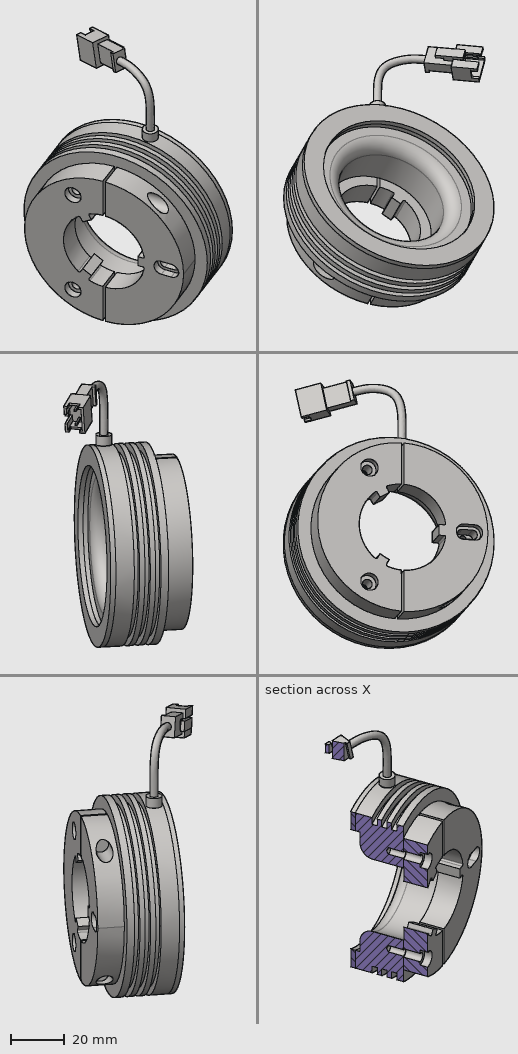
import cadquery as cq
import math


RING_RADIUS = 37.7
RING_BORE_RADIUS = 20.9
BORE_LIP_FILLET = 5.2
REAR_CAVITY_RADIUS = 30.0
FRONT_FLANGE = 2.9
GROOVE_WIDTH = 2.02
LAND_WIDTH = 2.02
GROOVE_DIAMETER = 69.7
GROOVE_COUNT = 3
GROOVE_PITCH = GROOVE_WIDTH + LAND_WIDTH
REAR_FLANGE = 6.9
GROOVES_END = FRONT_FLANGE + GROOVE_COUNT * GROOVE_PITCH - LAND_WIDTH
HOUSING_DEPTH = GROOVES_END + REAR_FLANGE
BORE_LIP_END = GROOVES_END + BORE_LIP_FILLET
COVER_THICKNESS = 2.0

HUB_DIAMETER = 65.3
HUB_RADIUS = HUB_DIAMETER / 2
HUB_BORE_RADIUS = 16.7
HUB_LENGTH = 10.0
SPLIT_GAP = 1.0
KEY_WIDTH = 4.1
KEY_TIP_RADIUS = 13.9
KEY_ROOT_FILLET = 0.6
KEY_ANGLES = (0, 120, 240)
CLAMP_POCKET_DIAMETER = 6.2
CLAMP_POCKET_HEIGHT = 25.6
CLAMP_POCKET_FLOOR = 12.4

SCREW_CIRCLE_RADIUS = 25.6
ROUND_SCREW_ANGLES = (120, 240)
COUNTERBORE_DIAMETER = 6.6
COUNTERBORE_DEPTH = 3.1
CLEARANCE_DIAMETER = 3.6
SLOT_TRAVEL = 4.0
SLOT_COUNTERBORE_WIDTH = 6.0
TAPPED_DIAMETER = 2.8
TAPPED_DEPTH = 6.2
DRILL_POINT_ANGLE = 118
SPARE_HOLE_RADIUS = 30.1

CABLE_DIAMETER = 3.1
COLLAR_DIAMETER = 6.0
COLLAR_X = 6.5
COLLAR_Y = HOUSING_DEPTH + COVER_THICKNESS - 5.5
COLLAR_SEAT_Z = 37.3
CABLE_START_Z = 36.2
COLLAR_TOP_Z = 41.1
CABLE_STRAIGHT_TOP_Z = 48.7
CABLE_SHOULDER = (3.1, 60.1)
CABLE_CREST = (10.9, 62.7)
CABLE_REACH = 18.4

PLUG_HEADING = -26.7
PLUG_PITCH = 11.9
PLUG_END_Z = 61.9
SOCKET_LENGTH = 9.9
SOCKET_WIDTH = 7.6
SOCKET_HEIGHT = 10.9
SOCKET_WALL = 0.9
SOCKET_DEPTH = 7.0
SOCKET_Y = 0.1
WALL_NOTCH_WIDTH = 4.1
WALL_NOTCH_DEPTH = 2.7
WALL_NOTCH_Y = 0.4
LATCH_WINDOW_HEIGHT = 3.9
NECK_LENGTH = 10.8
NECK_WIDTH = 4.5
NECK_HEIGHT = 8.0
NECK_Y = 0.7
NECK_LIP_LENGTH = 1.5
NECK_LIP_HEIGHT = 1.0
LATCH_START = -14.8
LATCH_END = -4.1
LATCH_INNER_Y = 4.0
LATCH_THICKNESS = 1.5
LATCH_HEIGHT = 3.9
LATCH_BRIDGE_LENGTH = 3.5
PIN_SIZE = 0.7
PIN_RECESS = 1.8
PIN_SPACING = 5.9


def ring(outer_radius, inner_radius, start_y, length):
    """Ring about the Y axis reaching from start_y towards +Y."""
    plane = cq.Workplane("XZ", origin=(0, start_y, 0))
    return plane.circle(outer_radius).circle(inner_radius).extrude(-length)


def polar(radius, angle):
    return radius * math.cos(math.radians(angle)), radius * math.sin(math.radians(angle))


def box(x_range, y_range, z_range):
    """Box spanning the given (low, high) pairs."""
    ranges = (x_range, y_range, z_range)
    sizes = [high - low for low, high in ranges]
    corner = tuple(low for low, high in ranges)
    return cq.Workplane().box(*sizes, centered=False).translate(corner)


def span(centre, size):
    return centre - size / 2, centre + size / 2


def tapped_hole(x, z):
    """Blind hole with a drill point, entering the housing's front face."""
    radius = TAPPED_DIAMETER / 2
    point_depth = radius / math.tan(math.radians(DRILL_POINT_ANGLE / 2))
    profile = [(0, 0), (radius, 0), (radius, TAPPED_DEPTH), (0, TAPPED_DEPTH + point_depth)]
    return cq.Workplane().polyline(profile).close().revolve(360, (0, 0), (0, 1)).translate((x, 0, z))


def upright(z, diameter, height):
    """Cylinder on the collar's vertical axis, standing on height z."""
    return cq.Workplane(origin=(COLLAR_X, COLLAR_Y, z)).circle(diameter / 2).extrude(height)


def make_housing():
    body = ring(RING_RADIUS, RING_BORE_RADIUS, 0, BORE_LIP_END)
    bore_rear_edge = cq.selectors.RadiusNthSelector(0)
    body = body.faces(">Y").edges(bore_rear_edge).fillet(BORE_LIP_FILLET)
    body = body.union(ring(RING_RADIUS, REAR_CAVITY_RADIUS, BORE_LIP_END, HOUSING_DEPTH - BORE_LIP_END))
    for index in range(GROOVE_COUNT):
        groove_y = FRONT_FLANGE + index * GROOVE_PITCH
        body = body.cut(ring(RING_RADIUS + 1, GROOVE_DIAMETER / 2, groove_y, GROOVE_WIDTH))
    hole_places = [polar(SCREW_CIRCLE_RADIUS, angle) for angle in KEY_ANGLES]
    hole_places += [(0, SPARE_HOLE_RADIUS), (0, -SPARE_HOLE_RADIUS)]
    for x, z in hole_places:
        body = body.cut(tapped_hole(x, z))
    body = body.cut(upright(COLLAR_SEAT_Z, COLLAR_DIAMETER, RING_RADIUS - COLLAR_SEAT_Z))
    return body.cut(upright(CABLE_START_Z, CABLE_DIAMETER, COLLAR_SEAT_Z - CABLE_START_Z))


def make_cover():
    return ring(RING_RADIUS, REAR_CAVITY_RADIUS, HOUSING_DEPTH, COVER_THICKNESS)


def make_key(angle):
    """Key pointing into the hub bore, with a concave fillet on each side of its root."""
    half_width = KEY_WIDTH / 2
    fillet_side = half_width + KEY_ROOT_FILLET
    fillet_x = math.sqrt((HUB_BORE_RADIUS - KEY_ROOT_FILLET) ** 2 - fillet_side**2)
    stretch = HUB_BORE_RADIUS / (HUB_BORE_RADIUS - KEY_ROOT_FILLET)
    root_x = fillet_x * stretch
    root_z = fillet_side * stretch
    middle = (90 - math.degrees(math.atan2(fillet_side, fillet_x))) / 2
    middle_x = fillet_x + KEY_ROOT_FILLET * math.sin(math.radians(middle))
    middle_z = fillet_side - KEY_ROOT_FILLET * math.cos(math.radians(middle))
    base_x = HUB_BORE_RADIUS + KEY_ROOT_FILLET
    outline = (
        cq.Workplane("XZ")
        .moveTo(KEY_TIP_RADIUS, -half_width)
        .lineTo(fillet_x, -half_width)
        .threePointArc((middle_x, -middle_z), (root_x, -root_z))
        .lineTo(base_x, -root_z)
        .lineTo(base_x, root_z)
        .lineTo(root_x, root_z)
        .threePointArc((middle_x, middle_z), (fillet_x, half_width))
        .lineTo(KEY_TIP_RADIUS, half_width)
        .close()
    )
    return outline.extrude(HUB_LENGTH).rotate((0, 0, 0), (0, 1, 0), -angle)


def screw_hole(angle):
    """Round clearance hole with a counterbore from the hub's front face."""
    x, z = polar(SCREW_CIRCLE_RADIUS, angle)
    through = cq.Workplane("XZ").center(x, z).circle(CLEARANCE_DIAMETER / 2).extrude(HUB_LENGTH)
    head = (
        cq.Workplane("XZ", origin=(0, -HUB_LENGTH, 0))
        .center(x, z)
        .circle(COUNTERBORE_DIAMETER / 2)
        .extrude(-COUNTERBORE_DEPTH)
    )
    return through.union(head)


def screw_slot():
    """Radial clearance slot with a slotted counterbore from the hub's front face."""
    through = (
        cq.Workplane("XZ")
        .center(SCREW_CIRCLE_RADIUS, 0)
        .slot2D(SLOT_TRAVEL + CLEARANCE_DIAMETER, CLEARANCE_DIAMETER)
        .extrude(HUB_LENGTH)
    )
    head = (
        cq.Workplane("XZ", origin=(0, -HUB_LENGTH, 0))
        .center(SCREW_CIRCLE_RADIUS, 0)
        .slot2D(SLOT_TRAVEL + SLOT_COUNTERBORE_WIDTH, SLOT_COUNTERBORE_WIDTH)
        .extrude(-COUNTERBORE_DEPTH)
    )
    return through.union(head)


def clamp_pocket(z):
    """Clamp screw pocket along X, open to the hub's curved outside."""
    return (
        cq.Workplane("YZ", origin=(CLAMP_POCKET_FLOOR, -HUB_LENGTH / 2, z))
        .circle(CLAMP_POCKET_DIAMETER / 2)
        .extrude(HUB_RADIUS - CLAMP_POCKET_FLOOR)
    )


def make_hub_half(side):
    """One half of the clamp hub; side is +1 for the +X half and -1 for the -X half."""
    body = ring(HUB_RADIUS, HUB_BORE_RADIUS, -HUB_LENGTH, HUB_LENGTH)
    for angle in KEY_ANGLES:
        body = body.union(make_key(angle))
    for angle in ROUND_SCREW_ANGLES:
        body = body.cut(screw_hole(angle))
    body = body.cut(screw_slot())
    for z in (CLAMP_POCKET_HEIGHT, -CLAMP_POCKET_HEIGHT):
        body = body.cut(clamp_pocket(z))
    x_range = sorted((side * SPLIT_GAP / 2, side * HUB_RADIUS))
    half_space = box(x_range, (-HUB_LENGTH, 0), (-HUB_RADIUS, HUB_RADIUS))
    return body.intersect(half_space)


def make_collar():
    height = COLLAR_TOP_Z - COLLAR_SEAT_Z
    return upright(COLLAR_SEAT_Z, COLLAR_DIAMETER, height).cut(upright(COLLAR_SEAT_Z, CABLE_DIAMETER, height))


def make_cable():
    """Cable rising straight through the collar, then bending over into the connector."""
    away_x, away_y = polar(-1, PLUG_HEADING)
    cable_plane = cq.Plane(
        origin=(COLLAR_X, COLLAR_Y, 0), xDir=(away_x, away_y, 0), normal=(away_y, -away_x, 0)
    )
    bend_points = [
        (0, COLLAR_TOP_Z),
        (0, CABLE_STRAIGHT_TOP_Z),
        CABLE_SHOULDER,
        CABLE_CREST,
        (CABLE_REACH, PLUG_END_Z),
    ]
    path = (
        cq.Workplane(cable_plane)
        .spline(bend_points, tangents=[(0, 1), polar(1, -PLUG_PITCH)])
    )
    section = cq.Workplane(origin=(COLLAR_X, COLLAR_Y, COLLAR_TOP_Z)).circle(CABLE_DIAMETER / 2)
    root = upright(CABLE_START_Z, CABLE_DIAMETER, COLLAR_TOP_Z - CABLE_START_Z)
    return section.sweep(path).union(root)


def make_connector():
    """Connector: open socket, neck with a lip, side latch and two pins."""
    socket_rear = -NECK_LENGTH
    socket_front = socket_rear - SOCKET_LENGTH
    socket_floor = socket_front + SOCKET_DEPTH
    socket_y = span(SOCKET_Y, SOCKET_WIDTH)
    neck_y = span(NECK_Y, NECK_WIDTH)
    neck_z = span(0, NECK_HEIGHT)

    socket = box((socket_front, socket_rear), socket_y, span(0, SOCKET_HEIGHT))
    cavity = box(
        (socket_front, socket_floor),
        span(SOCKET_Y, SOCKET_WIDTH - 2 * SOCKET_WALL),
        span(0, SOCKET_HEIGHT - 2 * SOCKET_WALL),
    )
    wall_notches = box(
        (socket_front, socket_front + WALL_NOTCH_DEPTH),
        span(WALL_NOTCH_Y, WALL_NOTCH_WIDTH),
        span(0, SOCKET_HEIGHT),
    )
    latch_window = box((socket_front, socket_floor), (SOCKET_Y, socket_y[1]), span(0, LATCH_WINDOW_HEIGHT))
    body = socket.cut(cavity).cut(wall_notches).cut(latch_window)

    body = body.union(box((socket_rear, 0), neck_y, neck_z))
    body = body.union(box((-NECK_LIP_LENGTH, 0), (neck_y[0] - NECK_LIP_HEIGHT, neck_y[0]), neck_z))

    latch_z = span(0, LATCH_HEIGHT)
    latch_y = (LATCH_INNER_Y, LATCH_INNER_Y + LATCH_THICKNESS)
    body = body.union(box((LATCH_START, LATCH_END), latch_y, latch_z))
    bridge_x = (socket_rear, socket_rear + LATCH_BRIDGE_LENGTH)
    body = body.union(box(bridge_x, (neck_y[1], LATCH_INNER_Y), latch_z))

    for z in (PIN_SPACING / 2, -PIN_SPACING / 2):
        pin = box((socket_front + PIN_RECESS, socket_floor), span(SOCKET_Y, PIN_SIZE), span(z, PIN_SIZE))
        body = body.union(pin)

    reach_x, reach_y = polar(-CABLE_REACH, PLUG_HEADING)
    return (
        body.rotate((0, 0, 0), (0, 1, 0), -PLUG_PITCH)
        .rotate((0, 0, 0), (0, 0, 1), PLUG_HEADING)
        .translate((COLLAR_X + reach_x, COLLAR_Y + reach_y, PLUG_END_Z))
    )


housing = make_housing()
cover = make_cover()
hub_halves = [make_hub_half(side) for side in (1, -1)]
collar = make_collar()
cable = make_cable()
connector = make_connector()

result = cq.Compound.makeCompound(
    [
        housing.val(),
        cover.val(),
        *[half.val() for half in hub_halves],
        collar.val(),
        cable.val(),
        connector.val(),
    ]
)